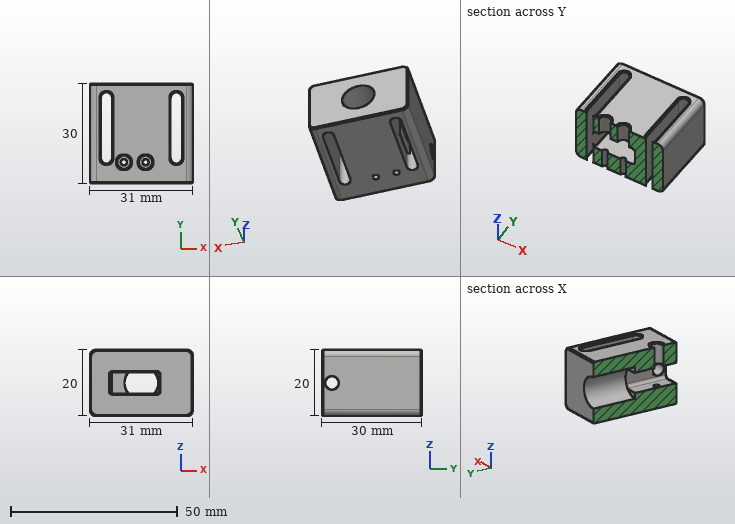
import cadquery as cq

LENGTH_X = 31.0
LENGTH_Y = 30.0
LENGTH_Z = 20.0
BODY_RADIUS = 2.0
EDGE_CHAMFER = 0.4

POCKET_WIDTH = 14.8
POCKET_HEIGHT = 6.4
POCKET_DEPTH = 15.0
POCKET_CENTER_X = -2.0
POCKET_RADIUS = 1.0

BACK_BORE_DIAMETER = 10.08

SLOT_WIDTH = 3.4
SLOT_LENGTH = 21.4
SLOT_CENTER_X = 10.5
SLOT_CENTER_Y = 1.65

CROSS_HOLE_DIAMETER = 4.0
CROSS_HOLE_Y = -12.0

SCREW_ACCESS_DIAMETER = 4.0
SCREW_HOLE_DIAMETER = 1.8
SCREW_PITCH = 6.5
SCREW_CENTER_X = POCKET_CENTER_X
SCREW_Y = -8.65

FRONT_Y = -LENGTH_Y / 2
POCKET_END_Y = FRONT_Y + POCKET_DEPTH


def make_body():
    """Block with rounded long edges and chamfered front and back faces."""
    block = cq.Workplane("XY").box(LENGTH_X, LENGTH_Y, LENGTH_Z)
    block = block.edges("|Y").fillet(BODY_RADIUS)
    return block.faces("<Y or >Y").edges().chamfer(EDGE_CHAMFER)


def make_pocket():
    """Rectangular pocket with rounded corners, open at the front face."""
    pocket = cq.Workplane("XY").box(POCKET_WIDTH, POCKET_DEPTH, POCKET_HEIGHT)
    pocket = pocket.edges("|Y").fillet(POCKET_RADIUS)
    return pocket.translate((POCKET_CENTER_X, FRONT_Y + POCKET_DEPTH / 2, 0))


def make_back_bore():
    """Cylinder from the end of the pocket out through the back face."""
    plane = cq.Workplane("XZ", origin=(0, POCKET_END_Y, 0))
    return plane.circle(BACK_BORE_DIAMETER / 2).extrude(-(LENGTH_Y - POCKET_DEPTH))


def make_slots():
    """Pair of round-ended slots, mirrored about the YZ plane."""
    centers = [(side * SLOT_CENTER_X, SLOT_CENTER_Y) for side in (-1, 1)]
    plane = cq.Workplane("XY").pushPoints(centers)
    return plane.slot2D(SLOT_LENGTH, SLOT_WIDTH, 90).extrude(LENGTH_Z / 2, both=True)


def make_cross_hole():
    """Round hole along X through the whole body and the pocket mouth."""
    plane = cq.Workplane("YZ").center(CROSS_HOLE_Y, 0)
    return plane.circle(CROSS_HOLE_DIAMETER / 2).extrude(LENGTH_X / 2, both=True)


def make_screw_holes():
    """Two vertical holes, wide above the pocket and narrow below it."""
    centers = [(SCREW_CENTER_X + side * SCREW_PITCH / 2, SCREW_Y) for side in (-1, 1)]
    plane = cq.Workplane("XY").pushPoints(centers)
    access_holes = plane.circle(SCREW_ACCESS_DIAMETER / 2).extrude(LENGTH_Z / 2)
    screw_holes = plane.circle(SCREW_HOLE_DIAMETER / 2).extrude(-LENGTH_Z / 2)
    return access_holes.union(screw_holes)


def chamfer_opening_rims(part, face_selector):
    """Chamfer the rim of every opening in the selected outer face."""
    face = part.faces(face_selector).val()
    rim_edges = [edge for wire in face.innerWires() for edge in wire.Edges()]
    return part.newObject(rim_edges).chamfer(EDGE_CHAMFER)


part = make_body()
for cutter in (
    make_pocket(),
    make_back_bore(),
    make_slots(),
    make_cross_hole(),
    make_screw_holes(),
):
    part = part.cut(cutter)

for outer_face in ("<Y", "<X", ">Z"):
    part = chamfer_opening_rims(part, outer_face)

result = part